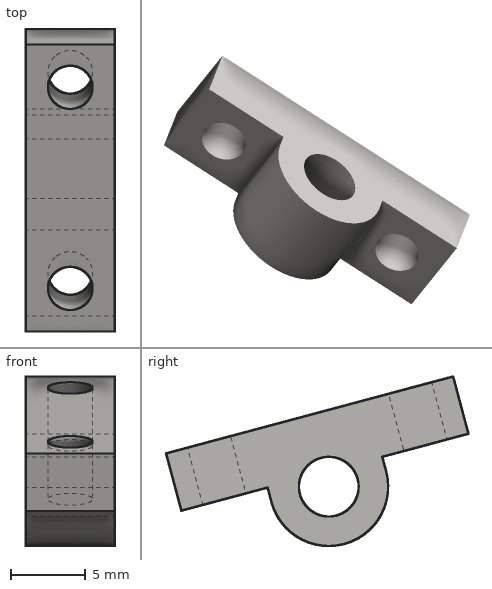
import cadquery as cq

width = 6.0
plate_length = 20.0
plate_thickness = 4.0
tilt_angle = 15.0
bore_diameter = 4.0
boss_wall = 2.0
plate_underside = 1.0
screw_hole_diameter = 3.0
screw_hole_spacing = 14.0

boss_radius = bore_diameter / 2 + boss_wall
plate_top = plate_underside + plate_thickness


def make_body():
    """Plate with a U-shaped boss below it, level, with the bore axis along X."""
    half_length = plate_length / 2
    return (
        cq.Workplane("YZ")
        .moveTo(-half_length, plate_top)
        .lineTo(-half_length, plate_underside)
        .lineTo(-boss_radius, plate_underside)
        .lineTo(-boss_radius, 0)
        .threePointArc((0, -boss_radius), (boss_radius, 0))
        .lineTo(boss_radius, plate_underside)
        .lineTo(half_length, plate_underside)
        .lineTo(half_length, plate_top)
        .close()
        .extrude(width / 2, both=True)
    )


def make_bore():
    """Cylinder for the pivot bore, through the full width."""
    return cq.Workplane("YZ").circle(bore_diameter / 2).extrude(width / 2, both=True)


def make_screw_holes():
    """Two cylinders square to the plate, one on each side of the boss."""
    return (
        cq.Workplane("XY")
        .workplane(offset=plate_underside)
        .rarray(1, screw_hole_spacing, 1, 2)
        .circle(screw_hole_diameter / 2)
        .extrude(plate_thickness)
    )


level_part = make_body().cut(make_bore()).cut(make_screw_holes())

result = level_part.rotate((0, 0, 0), (1, 0, 0), tilt_angle)